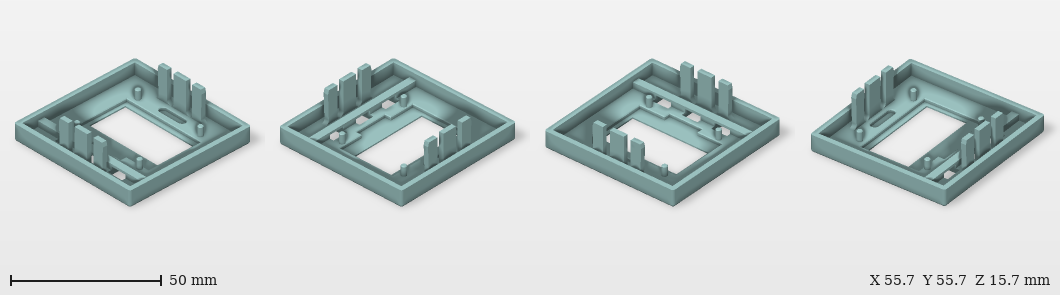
import cadquery as cq
side = 55.7
frame_height = 7.0
total_height = 15.65
edge_radius = 1.0
wall = 2.0
floor = 2.0
inner_side = side - 2 * wall

skin = 0.55
rim_lip = 0.3
pocket_half_width = 18.0
pocket_top = 14.65
pocket_bottom = -9.85
tab_half_width = 7.3
tab_bottom = -12.4
window_half_width = 16.3
window_top = 12.35
window_bottom = -4.2

slot_length = 12.65
slot_width = 3.6
slot_y = 18.45

pin_diameter = 2.2
pin_chamfer = 0.3
pin_height = 4.0
pin_x = 15.0
pin_y_upper = 16.9
pin_y_lower = -11.1

opening_count = 3
opening_width = 6.8
opening_height = 6.25
opening_pitch = 12.7
bar_y = -17.15
bar_width = 3.0
bar_height = 2.5
notch_height = 1.5

clip_y = 22.65
clip_thickness = 2.0
gap_width = 3.0
gap_x = 4.5
foot_radius = gap_width / 2
foot_half_width = 11.65
neck_half_width = foot_half_width - foot_radius
bulge_half_width = 10.5
tip_half_width = 10.1
tip_drop = 1.65


def rectangle_block(x_half, y_low, y_high, z_low, z_high):
    return (
        cq.Workplane("XY")
        .box(2 * x_half, y_high - y_low, z_high - z_low, centered=(True, False, False))
        .translate((0, y_low, z_low))
    )


def make_tray():
    tray = cq.Workplane("XY").box(side, side, frame_height, centered=(True, True, False))
    tray = tray.edges("|Z").fillet(edge_radius)
    tray = tray.faces("<Z").edges().fillet(edge_radius)
    cavity = rectangle_block(inner_side / 2, -inner_side / 2, inner_side / 2, floor, frame_height)
    return tray.cut(cavity)


def add_rim_bevel(recess):
    """Widen a recess by a bevel around its rim at the floor surface."""
    outline = recess.faces(">Z").wires().val()
    outer = outline.offset2D(rim_lip, "intersection")[0]
    bevel = cq.Solid.makeLoft([outline.translate(cq.Vector(0, 0, -rim_lip)), outer], True)
    return recess.union(cq.Workplane(bevel))


def make_pocket():
    """T-shaped recess with a bevelled rim."""
    main = rectangle_block(
        pocket_half_width - rim_lip, pocket_bottom + rim_lip, pocket_top - rim_lip, skin, floor
    )
    tab = rectangle_block(tab_half_width - rim_lip, tab_bottom + rim_lip, 0, skin, floor)
    return add_rim_bevel(main.union(tab))


def make_slot():
    recess = (
        cq.Workplane("XY", origin=(0, slot_y, skin))
        .slot2D(slot_length - 2 * rim_lip, slot_width - 2 * rim_lip)
        .extrude(floor - skin)
    )
    return add_rim_bevel(recess)


def make_window():
    return rectangle_block(window_half_width, window_bottom, window_top, 0, floor)


def make_openings():
    """Through openings that continue upwards as notches in the underside of the bar."""
    return (
        cq.Workplane("XY", origin=(0, bar_y, 0))
        .rarray(opening_pitch, 0.55, opening_count, 1)
        .rect(opening_width, opening_height)
        .extrude(floor + notch_height)
    )


def make_bar():
    return rectangle_block(
        inner_side / 2, bar_y - bar_width / 2, bar_y + bar_width / 2, floor, floor + bar_height
    )


def make_pins():
    places = [(x, y) for x in (-pin_x, pin_x) for y in (pin_y_lower, pin_y_upper)]
    return (
        cq.Workplane("XY", origin=(0, 0, floor))
        .pushPoints(places)
        .circle(pin_diameter / 2)
        .extrude(pin_height)
        .faces(">Z")
        .chamfer(pin_chamfer)
    )


def make_clip(y):
    """Comb of three prongs with flared feet, round-bottomed gaps and bevelled outer tips."""
    foot_top = floor + foot_radius
    arc_reach = foot_radius * (1 - 0.5**0.5)
    arc_middle = (neck_half_width + arc_reach, floor + arc_reach)
    comb = (
        cq.Workplane("XZ")
        .moveTo(0, floor)
        .lineTo(foot_half_width, floor)
        .threePointArc(arc_middle, (neck_half_width, foot_top))
        .lineTo(bulge_half_width, total_height - tip_drop)
        .lineTo(tip_half_width, total_height)
        .lineTo(0, total_height)
        .close()
        .extrude(clip_thickness / 2, both=True)
    )
    comb = comb.union(comb.mirror("YZ"))
    for x in (-gap_x, gap_x):
        gap = (
            cq.Workplane("XZ", origin=(x, 0, foot_top))
            .moveTo(-gap_width / 2, 0)
            .threePointArc((0, -gap_width / 2), (gap_width / 2, 0))
            .lineTo(gap_width / 2, total_height)
            .lineTo(-gap_width / 2, total_height)
            .close()
            .extrude(clip_thickness, both=True)
        )
        comb = comb.cut(gap)
    return comb.translate((0, y, 0))


result = make_tray().union(make_bar())
for recess in (make_pocket(), make_window(), make_slot(), make_openings()):
    result = result.cut(recess)
for boss in (make_pins(), make_clip(clip_y), make_clip(-clip_y)):
    result = result.union(boss)